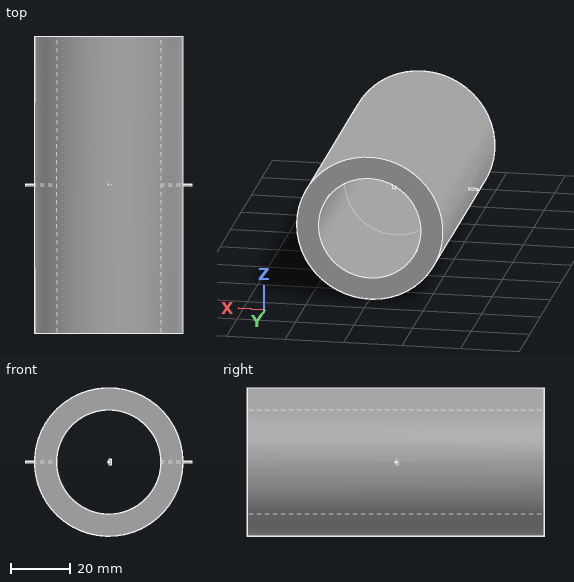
import cadquery as cq

tube_length = 100.0
tube_diameter = 50.0
bore_diameter = 35.0

pin_diameter = 0.64
pin_span = 56.0

block_length = 1.0
block_depth = 1.0
block_height = 2.0
boss_diameter = 0.64
boss_length = 0.2

wire_diameter = 0.02
wire_overhang = 0.5


def x_cylinder(diameter, start, end, y=0.0):
    """Cylinder along X between two X positions, at the given Y."""
    return cq.Workplane("YZ", origin=(start, y, 0)).circle(diameter / 2).extrude(end - start)


def make_pin(side):
    """Pin from the bore radius out past the tube, on the side given by the sign."""
    return x_cylinder(pin_diameter, side * bore_diameter / 2, side * pin_span / 2)


def make_tube(pins):
    """Plain tube with a fitting hole in the wall for each pin."""
    tube = (
        cq.Workplane("XZ")
        .circle(tube_diameter / 2)
        .circle(bore_diameter / 2)
        .extrude(tube_length / 2, both=True)
    )
    for pin in pins:
        tube = tube.cut(pin)
    return tube


def make_wire():
    """Straight wire from beyond the boss to the far side of the block."""
    return x_cylinder(wire_diameter, -wire_overhang, block_length)


def make_block(wire):
    """Upright block with a boss on its -X face, grooved to seat the wire."""
    block = cq.Workplane("XY").box(
        block_length, block_depth, block_height, centered=(False, False, True)
    )
    boss = x_cylinder(boss_diameter, -boss_length, 0, y=boss_diameter / 2)
    return block.union(boss).cut(wire)


pins = [make_pin(side) for side in (-1, 1)]
tube = make_tube(pins)
wire = make_wire()
block = make_block(wire)

result = cq.Compound.makeCompound(
    [tube.val(), *[pin.val() for pin in pins], wire.val(), block.val()]
)